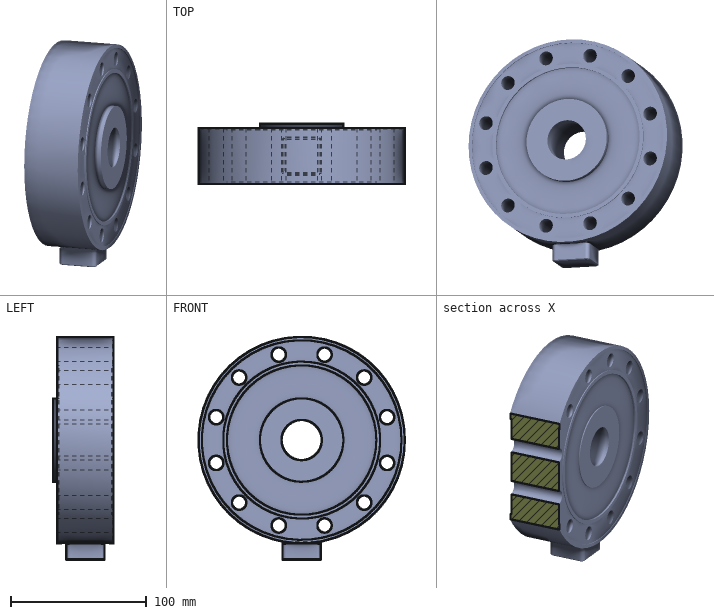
import cadquery as cq

disc_diameter = 152.0
disc_width = 41.4
rim_inner_diameter = 146.9
ring_outer_diameter = 115.5
ring_inner_diameter = 109.9
hub_diameter = 61.5
bore_diameter = 29.4
flange_recess = 0.7
diaphragm_recess = 1.5
front_hub_recess = 0.7
back_hub_rise = 3.1

hole_count = 12
hole_diameter = 10.4
hole_circle_diameter = 130.1

overall_height = 164.3
seat_width = 25.5
seat_depth = 1.3
connector_width = 28.5
connector_corner_radius = 3.0
connector_top_gap = 0.2
connector_edge_chamfer = 0.7
neck_width = 24.2
neck_corner_radius = 1.5

disc_radius = disc_diameter / 2
front_y = -disc_width / 2
back_y = disc_width / 2
hub_front_y = front_y + front_hub_recess
hub_back_y = back_y + back_hub_rise
seat_z = -disc_radius + seat_depth
connector_top_z = -disc_radius - connector_top_gap
connector_bottom_z = disc_radius - overall_height


def tube(outer_diameter, inner_diameter, start_y, end_y):
    """Tube on the disc axis between two Y positions."""
    plane = cq.Workplane("XZ", origin=(0, start_y, 0))
    return plane.circle(outer_diameter / 2).circle(inner_diameter / 2).extrude(start_y - end_y)


def rounded_block(width, corner_radius, bottom_z, top_z):
    """Square block about the Z axis with rounded upright edges."""
    plane = cq.Workplane("XY", origin=(0, 0, bottom_z))
    return plane.rect(width, width).extrude(top_z - bottom_z).edges("|Z").fillet(corner_radius)


def mounting_holes():
    half_pitch_angle = 180 / hole_count
    return (
        cq.Workplane("XZ", origin=(0, front_y, 0))
        .polarArray(hole_circle_diameter / 2, half_pitch_angle, 360, hole_count)
        .circle(hole_diameter / 2)
        .extrude(-disc_width)
    )


def connector_seat():
    """Flat slot along X across the lowest part of the disc."""
    plane = cq.Workplane("XY", origin=(0, 0, seat_z))
    return plane.rect(disc_diameter, seat_width).extrude(-disc_radius)


def make_housing():
    body = tube(disc_diameter, hub_diameter, front_y, back_y)

    for face_y, inward in ((front_y, 1), (back_y, -1)):
        flange_y = face_y + inward * flange_recess
        diaphragm_y = face_y + inward * diaphragm_recess
        body = body.cut(tube(rim_inner_diameter, ring_outer_diameter, face_y, flange_y))
        body = body.cut(tube(ring_inner_diameter, hub_diameter, face_y, diaphragm_y))


    hub = tube(hub_diameter, bore_diameter, hub_front_y, hub_back_y)
    return body.union(hub).cut(mounting_holes()).cut(connector_seat())


def make_connector():
    box = rounded_block(connector_width, connector_corner_radius, connector_bottom_z, connector_top_z)
    box = box.faces("<Z").edges().chamfer(connector_edge_chamfer)
    neck = rounded_block(neck_width, neck_corner_radius, connector_top_z, seat_z)
    return box.union(neck)


housing = make_housing()
connector = make_connector()

result = cq.Compound.makeCompound([housing.val(), connector.val()])